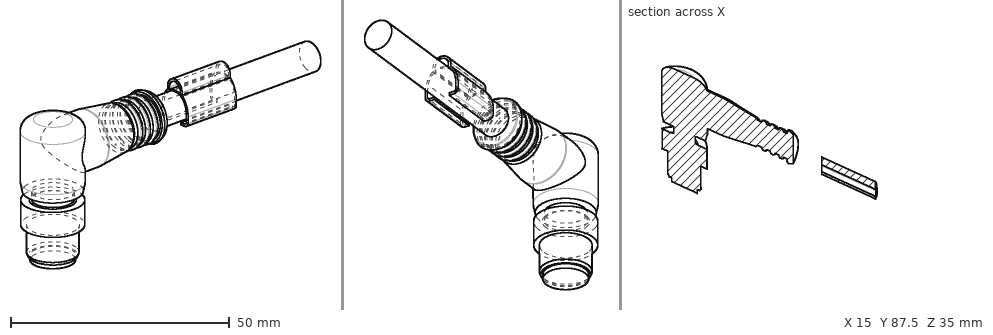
import cadquery as cq
import math


total_length = 87.5
total_height = 35

head_diameter = 15.0
head_radius = head_diameter / 2
head_top = 8.0
crown_fillet = 3.0
head_taper_top = -7.5
head_bottom = -9.9
head_bottom_radius = 7.0

neck_radius = 4.9
neck_foot_radius = 5.4
neck_foot_height = 0.2
nut_radius = 7.35
nut_top = -12.1
nut_bottom = -18.3
barrel_radius = 6.0
barrel_chamfer_top = -25.1
barrel_chamfer_bottom = -25.9
barrel_chamfer_radius = 5.7
tip_radius = 5.25
tip_bottom = head_top - total_height

arm_radius = 7.0
arm_end = 10.9
arm_blend_radius = 2.6
grommet_radius = 5.5
grommet_end = 30.2
cone_end_radius = 5.95
cone_end = 19.7
rib_radius = 6.0
rib_width = 1.3
rib_pitch = 2.4
rib_fillet = 0.4
rib_count = 3
first_rib = cone_end + rib_pitch
collar_start = 28.35
collar_peak = 28.9
collar_base_radius = 6.1
collar_peak_radius = 6.5
collar_end_radius = 5.95
collar_fillet = 0.3

cable_radius = 3.7
cable_end = total_length - head_radius

clip_start = 38.0
clip_length = 15.0
clip_wall = 0.6
clip_half_width = 4.5
clip_side_radius = 6.4
clip_shoulder = -1.1
clip_bottom = -3.9
clip_corner_radius = 1.1
clip_gap_half = 2.0
loop_radius = 2.45
loop_center = 4.3
tunnel_floor = 0.35


def revolve_about_z(points):
    """Turn (radius, z) points about the Z axis."""
    return cq.Workplane("XZ").polyline(points).close().revolve(360, (0, 0, 0), (0, 1, 0))


def revolve_about_y(points):
    """Turn (radius, y) points about the Y axis."""
    return cq.Workplane("XY").polyline(points).close().revolve(360, (0, 0, 0), (0, 1, 0))


def make_plug():
    head = revolve_about_z([
        (0, head_top),
        (head_radius, head_top),
        (head_radius, head_taper_top),
        (head_bottom_radius, head_bottom),
        (0, head_bottom),
    ]).faces(">Z").edges().fillet(crown_fillet)
    lower = revolve_about_z([
        (0, head_bottom),
        (neck_radius, head_bottom),
        (neck_radius, nut_top + neck_foot_height),
        (neck_foot_radius, nut_top),
        (nut_radius, nut_top),
        (nut_radius, nut_bottom),
        (barrel_radius, nut_bottom),
        (barrel_radius, barrel_chamfer_top),
        (barrel_chamfer_radius, barrel_chamfer_bottom),
        (tip_radius, barrel_chamfer_bottom),
        (tip_radius, tip_bottom),
        (0, tip_bottom),
    ])
    return head.union(lower)


def make_rib(center):
    rib = cq.Workplane("XZ", origin=(0, center - rib_width / 2, 0)).circle(rib_radius).extrude(-rib_width)
    return rib.edges().fillet(rib_fillet)


def make_arm():
    arm = revolve_about_y([
        (0, 0),
        (arm_radius, 0),
        (arm_radius, arm_end),
        (cone_end_radius, cone_end),
        (grommet_radius, cone_end + rib_width / 2),
        (grommet_radius, collar_start),
        (collar_base_radius, collar_start),
        (collar_peak_radius, collar_peak),
        (collar_end_radius, grommet_end),
        (0, grommet_end),
    ])
    arm = arm.faces(">Y").edges().fillet(collar_fillet)
    arm = arm.edges(cq.selectors.NearestToPointSelector((0, arm_end, 0))).fillet(arm_blend_radius)
    for index in range(rib_count):
        arm = arm.union(make_rib(first_rib + index * rib_pitch))
    return arm


def make_cable():
    return cq.Workplane("XZ").circle(cable_radius).extrude(-cable_end)


def clip_body(inset):
    """Solid with arched sides, shrunk by inset; the sides stop at the loop wall, capped flat."""
    half_width = clip_half_width - inset
    side_radius = clip_side_radius - inset
    loop = loop_radius - inset
    bottom = clip_bottom + inset
    arc_center = half_width - side_radius

    def side_point(x):
        return x, clip_shoulder + math.sqrt(side_radius**2 - (x - arc_center) ** 2)

    top_x, top_z = side_point(loop)
    mid_x, mid_z = side_point((loop + half_width) / 2)
    body = (
        cq.Workplane("XZ", origin=(0, clip_start, 0))
        .moveTo(-half_width, bottom)
        .lineTo(half_width, bottom)
        .lineTo(half_width, clip_shoulder)
        .threePointArc((mid_x, mid_z), (top_x, top_z))
        .lineTo(-top_x, top_z)
        .threePointArc((-mid_x, mid_z), (-half_width, clip_shoulder))
        .close()
        .extrude(-clip_length)
    )
    return body.edges("|Y and <Z").fillet(clip_corner_radius - inset)


def clip_loop(radius):
    """Round-topped block rising from the cable axis, as long as the clip."""
    return (
        cq.Workplane("XZ", origin=(0, clip_start, 0))
        .moveTo(-radius, 0)
        .lineTo(radius, 0)
        .lineTo(radius, loop_center)
        .threePointArc((0, loop_center + radius), (-radius, loop_center))
        .close()
        .extrude(-clip_length)
    )


def clip_rod(radius):
    """Cylinder on the cable axis, as long as the clip."""
    return cq.Workplane("XZ", origin=(0, clip_start, 0)).circle(radius).extrude(-clip_length)


def make_clip():
    tunnel = clip_loop(loop_radius - clip_wall).cut(clip_rod(cable_radius + tunnel_floor))
    cavity = clip_body(clip_wall)
    gap = cq.Workplane("XY").box(2 * clip_gap_half, clip_length, -clip_bottom, centered=(True, False, False))
    gap = gap.translate((0, clip_start, clip_bottom))
    shell = clip_body(0).union(clip_loop(loop_radius))
    return shell.cut(cavity).cut(gap).cut(tunnel)


result = make_plug().union(make_arm()).union(make_cable()).union(make_clip())